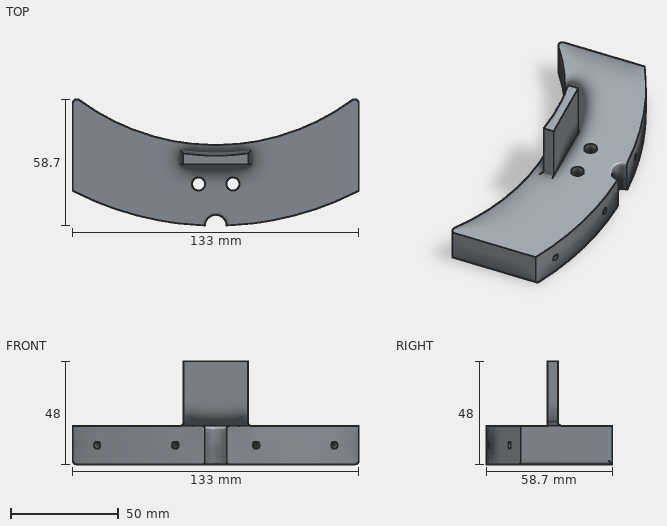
import cadquery as cq
import math

outer_radius = 144.0
inner_radius = 106.5
half_angle = 27.5
block_height = 18.0
half_width = outer_radius * math.sin(math.radians(half_angle))
side_round = 2.0

margin = 1.0

plate_width = 30.0
plate_height = 30.0
plate_front_y = -115.5
plate_back_radius = inner_radius + 5.0
plate_fillet = 1.5

bolt_hole_diameter = 6.0
bolt_hole_spacing = 16.0
bolt_hole_y = -124.6

notch_radius = 5.0
notch_fillet = 1.5

radial_hole_diameter = 3.3
radial_hole_angles = (-22.5, -7.5, 7.5, 22.5)


def make_block():
    """Ring segment with straight sides, rounded inner tips and rounded lower side edges."""
    ring = (
        cq.Workplane("XY")
        .circle(outer_radius)
        .circle(inner_radius)
        .extrude(block_height)
    )
    strip = (
        cq.Workplane("XY")
        .center(0, -outer_radius / 2)
        .rect(2 * half_width, outer_radius)
        .extrude(block_height)
    )
    tips = cq.selectors.BoxSelector(
        (-half_width - margin, -inner_radius, -margin),
        (half_width + margin, 0, block_height + margin),
    )
    block = ring.intersect(strip).edges("|Z").edges(tips).fillet(side_round)
    envelope = strip.edges("|Y and <Z").fillet(side_round)
    return block.intersect(envelope)


def make_plate():
    """Plate standing on the block, reaching down to the block's underside."""
    blank = (
        cq.Workplane("XY")
        .center(0, plate_front_y / 2)
        .rect(plate_width, -plate_front_y)
        .extrude(block_height + plate_height)
    )
    hollow = cq.Workplane("XY").circle(plate_back_radius).extrude(block_height + plate_height)
    return blank.cut(hollow)


def fillet_plate_root(body):
    """Fillet the root of the plate along its two sides and its back."""
    half_plate = plate_width / 2
    root = cq.selectors.BoxSelector(
        (-half_plate - margin, plate_front_y + margin, block_height - margin),
        (half_plate + margin, -inner_radius - margin, block_height + margin),
    )
    return body.edges(root).fillet(plate_fillet)


def cut_bolt_holes(body):
    """Cut the two vertical holes, mirrored about the middle of the block."""
    offset = bolt_hole_spacing / 2
    holes = (
        cq.Workplane("XY")
        .pushPoints([(-offset, bolt_hole_y), (offset, bolt_hole_y)])
        .circle(bolt_hole_diameter / 2)
        .extrude(block_height)
    )
    return body.cut(holes)


def cut_notch(body):
    """Cut the notch with flared ends that round its upper and lower rims."""
    flare_radius = notch_radius + notch_fillet
    arc_offset = notch_fillet * (1 - math.sqrt(0.5))
    cutter = (
        cq.Workplane("XZ")
        .moveTo(0, 0)
        .lineTo(flare_radius, 0)
        .threePointArc((notch_radius + arc_offset, arc_offset), (notch_radius, notch_fillet))
        .lineTo(notch_radius, block_height - notch_fillet)
        .threePointArc(
            (notch_radius + arc_offset, block_height - arc_offset),
            (flare_radius, block_height),
        )
        .lineTo(0, block_height)
        .close()
        .revolve(360, (0, 0), (0, 1))
        .translate((0, -outer_radius, 0))
    )
    return body.cut(cutter)


def cut_radial_holes(body):
    """Drill each radial hole at mid-height of the block."""
    drill_start = inner_radius - margin
    drill_length = outer_radius - inner_radius + 2 * margin
    for angle in radial_hole_angles:
        drill = (
            cq.Workplane("XZ", origin=(0, -drill_start, block_height / 2))
            .circle(radial_hole_diameter / 2)
            .extrude(drill_length)
            .rotate((0, 0, 0), (0, 0, 1), angle)
        )
        body = body.cut(drill)
    return body


body = make_block().union(make_plate())
body = fillet_plate_root(body)
body = cut_bolt_holes(body)
body = cut_notch(body)
result = cut_radial_holes(body)